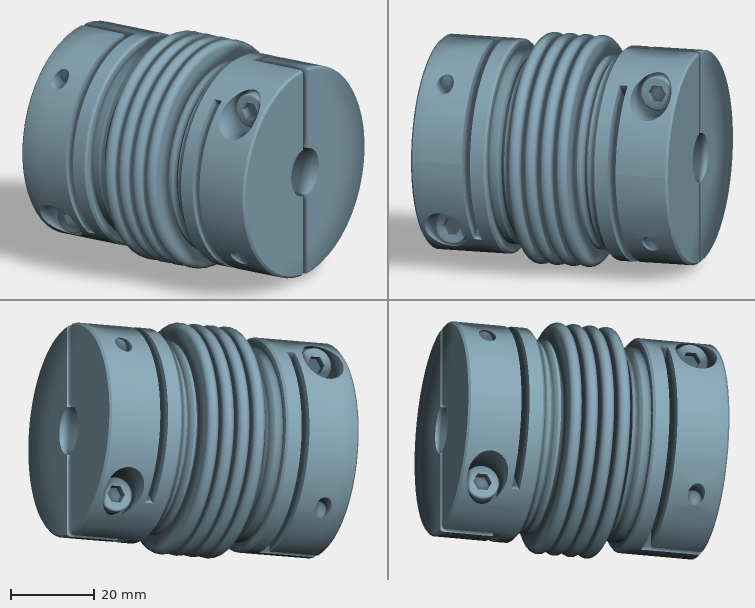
import cadquery as cq
import math


length = 65.0
hub_radius = 26.0
bellows_radius = 28.0
bore_radius = 6.0

hub_length = 19.0
edge_chamfer = 0.5

neck_radius = 23.6
neck_end = 8.9
groove_center = 10.5
groove_half_width = 1.0
groove_depth = 1.05

convolution_count = 4
convolution_pitch = 4.0
crest_width = 2.85
root_radius = 20.4

slot_width = 2.0
slot_start = 13.05
slot_end_y = 16.6
slot_end_bow = 1.1

screw_from_end = 6.5
screw_height = 17.95
shank_radius = 2.5
head_radius = 4.2
head_length = 5.0
head_rounding = 0.5
head_top = 14.05
socket_width = 4.0
socket_depth = 2.5
counterbore_radius = 5.0
tip_hole_radius = 2.1
screw_length = 24.7

half_length = length / 2
hub_end = half_length - hub_length
screw_x = screw_from_end - half_length
slot_half = slot_width / 2
head_seat = head_top - head_length
crest_half = crest_width / 2


def round_bottom(profile, start_x, end_x):
    """Run the profile down one bellows gap, around its rounded root and up to the far side."""
    bend = (end_x - start_x) / 2
    side_radius = root_radius + bend
    profile = profile.lineTo(start_x, side_radius)
    return profile.threePointArc((start_x + bend, root_radius), (end_x, side_radius))


def hub_outline():
    """Points of the -X hub and neck from the bore mouth to the start of the bellows."""
    return [
        (-half_length, bore_radius),
        (-half_length, hub_radius - edge_chamfer),
        (-half_length + edge_chamfer, hub_radius),
        (-hub_end - edge_chamfer, hub_radius),
        (-hub_end, hub_radius - edge_chamfer),
        (-hub_end, neck_radius),
        (-groove_center - groove_half_width, neck_radius),
        (-groove_center, neck_radius - groove_depth),
        (-groove_center + groove_half_width, neck_radius),
        (-neck_end, neck_radius),
    ]


def turned_body():
    """Revolved outline of both hubs, necks and bellows, with the shaft bore."""
    left_outline = hub_outline()
    profile = cq.Workplane("XY").polyline(left_outline)
    gap_start = -neck_end
    crest_base = bellows_radius - crest_half
    for i in range(convolution_count):
        crest_x = (i - (convolution_count - 1) / 2) * convolution_pitch
        profile = round_bottom(profile, gap_start, crest_x - crest_half)
        gap_start = crest_x + crest_half
        profile = profile.lineTo(crest_x - crest_half, crest_base)
        profile = profile.threePointArc((crest_x, bellows_radius), (gap_start, crest_base))
    profile = round_bottom(profile, gap_start, neck_end)
    for x, radius in reversed(left_outline):
        profile = profile.lineTo(-x, radius)
    return profile.close().revolve(360, (0, 0, 0), (1, 0, 0))


def jaw_slot():
    """Crosswise slot behind the -Y jaw, ending below on a gently curved wall."""
    inner = -bore_radius * math.sqrt(0.5)
    end_y = -slot_end_y
    end_z = -math.sqrt(hub_radius**2 - slot_end_y**2)
    chord_y = end_y - inner
    chord_z = end_z - inner
    chord = math.hypot(chord_y, chord_z)
    middle = (
        inner + chord_y / 2 - slot_end_bow * chord_z / chord,
        inner + chord_z / 2 + slot_end_bow * chord_y / chord,
    )
    return (
        cq.Workplane("YZ", origin=(slot_start - half_length, 0, 0))
        .moveTo(inner, inner)
        .threePointArc(middle, (end_y, end_z))
        .lineTo(-bellows_radius, -bellows_radius)
        .lineTo(-bellows_radius, bellows_radius)
        .lineTo(slot_half, bellows_radius)
        .lineTo(slot_half, 0)
        .close()
        .extrude(slot_width)
    )


def along_y(start_y, end_y, radius):
    """Round bar parallel to Y, centred on the lower clamp screw."""
    plane = cq.Workplane("XZ", origin=(screw_x, start_y, -screw_height))
    return plane.circle(radius).extrude(start_y - end_y)


def screw_holes():
    """Counterbore in the -Y jaw and hole for the screw tip through to the +Y side."""
    counterbore = along_y(-head_seat, -hub_radius, counterbore_radius)
    return along_y(hub_radius, -head_seat, tip_hole_radius).union(counterbore)


def screw():
    """Socket head cap screw whose head faces -Y."""
    head = along_y(-head_seat, -head_top, head_radius)
    head = head.faces("<Y").edges().fillet(head_rounding)
    socket = (
        cq.Workplane("XZ", origin=(screw_x, socket_depth - head_top, -screw_height))
        .transformed(rotate=(0, 0, 30))
        .polygon(6, socket_width, circumscribed=True)
        .extrude(socket_depth)
    )
    shank = along_y(screw_length - head_seat, -head_seat, shank_radius)
    return head.cut(socket).union(shank)


def half_turn(shape, axis):
    """Copy of the shape turned 180 degrees about an axis through the centre."""
    return shape.rotate((0, 0, 0), axis, 180)


X_AXIS = (1, 0, 0)
Z_AXIS = (0, 0, 1)

slit_depth = slot_start + slot_width
slit = cq.Workplane("XY").box(
    slit_depth, slot_width, 2 * bellows_radius, centered=(False, True, True)
)
slit = slit.translate((-half_length, 0, 0))
hub_cuts = [slit]
for cut in (jaw_slot(), screw_holes()):
    hub_cuts += [cut, half_turn(cut, X_AXIS)]
hub_screws = [screw(), half_turn(screw(), X_AXIS)]

result = turned_body()
for cut in hub_cuts:
    result = result.cut(cut).cut(half_turn(cut, Z_AXIS))
for clamp_screw in hub_screws:
    result = result.union(clamp_screw).union(half_turn(clamp_screw, Z_AXIS))